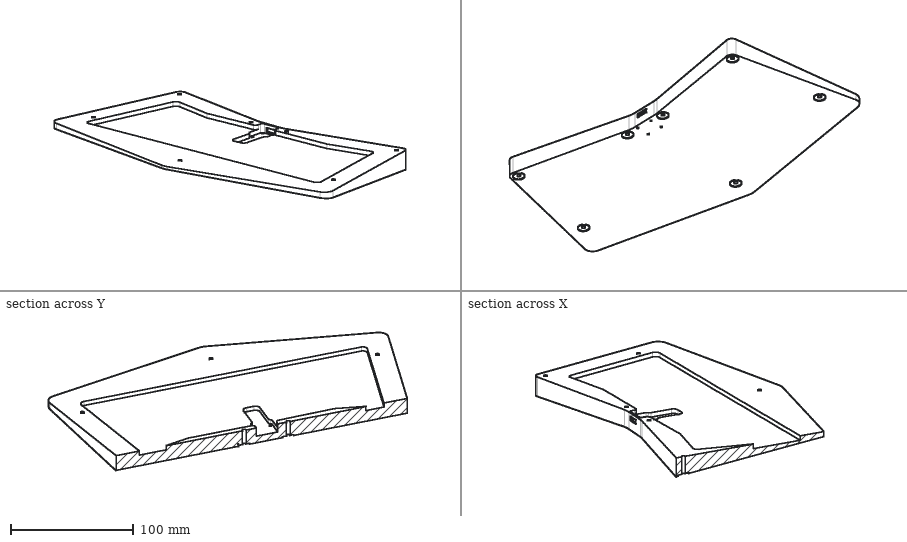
import cadquery as cq
import math

sweep_angle = 12.0
underside_angle = 5.0
front_thickness = 2.58
corner_x = 150.0
rear_y = 165.0
rear_left_y = 163.5
front_apex_y = -0.3
front_corner_radius = 8.0
rear_corner_radius = 5.3
apex_radius = 17.8
rear_bend_radius = 23.8
rear_bend_left_x = -20.5
rear_bend_right_x = 6.5

recess_depth = 4.0
recess_front_y = 47.0
recess_front_x = 126.2
recess_rear_left_y = 139.8
recess_rear_right_y = 141.3
recess_bend_left = (-66.0, 130.5)
recess_bend_right = (62.4, 131.8)
recess_corner_radius = 4.0

bay_x = -4.8
bay_depth = 7.7
head_width = 18.7
head_rear_y = 139.5
head_front_y = 122.5
head_rear_radius = 2.5
neck_width = 14.3
neck_front_y = 97.7
neck_front_radius = 4.0
shoulder_radius = 2.0
bay_mouth_radius = 3.0

port_width = 10.0
port_height = 3.5
port_top_clearance = 3.0
port_length = 9.0

bay_hole_diameter = 1.63
bay_hole_spacing_x = 14.3
bay_hole_spacing_y = 12.8
bay_hole_centre_y = 131.5
screw_diameter = 2.9
foot_diameter = 9.8
foot_depth = 1.0
screw_places = [
    (0, 20.2),
    (-129.7, 62.5),
    (129.0, 62.5),
    (-117.0, 155.5),
    (116.5, 156.5),
    (-23.5, 136.3),
    (15.0, 136.3),
]

sweep = math.tan(math.radians(sweep_angle))
fall = math.tan(math.radians(underside_angle))
cut_depth = 59.5


def prism(points, depth):
    """Solid from the top face down to the given depth."""
    return cq.Workplane("XY").polyline(points).close().extrude(-depth)


def round_edge_at(solid, place, radius):
    """Round the vertical edge nearest to a plan position."""
    x, y = place
    edge = cq.selectors.NearestToPointSelector((x, y, solid.edges("|Z").val().Center().z))
    return solid.edges("|Z").edges(edge).fillet(radius)


def wedge():
    corner_y = front_apex_y + sweep * corner_x
    rear_right_x = corner_x - sweep * (rear_y - corner_y)
    rear_left_x = -corner_x + sweep * (rear_left_y - corner_y)
    bend_right_y = rear_y - sweep * (rear_right_x - rear_bend_right_x)
    bend_left_y = rear_left_y - sweep * (rear_bend_left_x - rear_left_x)
    outline = [
        (0, front_apex_y),
        (corner_x, corner_y),
        (rear_right_x, rear_y),
        (rear_bend_right_x, bend_right_y),
        (rear_bend_left_x, bend_left_y),
        (rear_left_x, rear_left_y),
        (-corner_x, corner_y),
    ]
    radii = [
        apex_radius,
        front_corner_radius,
        rear_corner_radius,
        rear_bend_radius,
        rear_bend_radius,
        rear_corner_radius,
        front_corner_radius,
    ]
    body = prism(outline, cut_depth)
    for place, radius in zip(outline, radii):
        body = round_edge_at(body, place, radius)
    profile = [
        (front_apex_y, 0),
        (front_apex_y, -front_thickness - fall * front_apex_y),
        (rear_y, -front_thickness - fall * rear_y),
        (rear_y, 0),
    ]
    side = cq.Workplane("YZ").polyline(profile).close().extrude(corner_x, both=True)
    return body.intersect(side)


def main_recess():
    side_run_left = sweep * (recess_rear_left_y - recess_front_y)
    side_run_right = sweep * (recess_rear_right_y - recess_front_y)
    corners = [
        (-recess_front_x, recess_front_y),
        (recess_front_x, recess_front_y),
        (recess_front_x - side_run_right, recess_rear_right_y),
        (-recess_front_x + side_run_left, recess_rear_left_y),
    ]
    bend_middle = (bay_x, recess_bend_right[1])
    outline = corners[:3] + [recess_bend_right, bend_middle, recess_bend_left] + corners[3:]
    recess = prism(outline, recess_depth)
    for place in corners:
        recess = round_edge_at(recess, place, recess_corner_radius)
    return recess


def bay(depth):
    head_x = head_width / 2
    neck_x = neck_width / 2
    half = [
        (neck_x, neck_front_y),
        (neck_x, head_front_y),
        (head_x, head_front_y),
        (head_x, head_rear_y),
    ]
    radii = [neck_front_radius, shoulder_radius, shoulder_radius, head_rear_radius]
    right = [(bay_x + x, y) for x, y in half]
    left = [(bay_x - x, y) for x, y in half]
    solid = prism(right + left[::-1], depth)
    for places in (right, left):
        for place, radius in zip(places, radii):
            solid = round_edge_at(solid, place, radius)
    return solid


def top_pocket():
    """Main recess joined to the bay, with rounded mouths where their walls meet."""
    pocket = main_recess().union(bay(recess_depth))
    for side in (-1, 1):
        mouth = (bay_x + side * head_width / 2, recess_bend_right[1])
        pocket = round_edge_at(pocket, mouth, bay_mouth_radius)
    return pocket.union(bay(bay_depth))


def rear_port():
    return (
        cq.Workplane("XY")
        .box(port_width, port_length, port_height, centered=(True, True, False))
        .translate((bay_x, head_rear_y, -port_top_clearance - port_height))
    )


def through_holes(places, diameter):
    return cq.Workplane("XY").pushPoints(places).circle(diameter / 2).extrude(-cut_depth)


def foot_recess(place):
    """Shallow round seat, square to the sloping underside."""
    x, y = place
    seat = cq.Plane(
        origin=(x, y, -front_thickness - fall * y),
        xDir=(1, 0, 0),
        normal=(0, fall, 1),
    )
    return cq.Workplane(seat).circle(foot_diameter / 2).extrude(foot_depth)


bay_hole_places = [
    (bay_x + i * bay_hole_spacing_x / 2, bay_hole_centre_y + j * bay_hole_spacing_y / 2)
    for i in (-1, 1)
    for j in (-1, 1)
]

result = wedge().cut(top_pocket()).cut(rear_port())
result = result.cut(through_holes(bay_hole_places, bay_hole_diameter))
result = result.cut(through_holes(screw_places, screw_diameter))
for screw_place in screw_places:
    result = result.cut(foot_recess(screw_place))